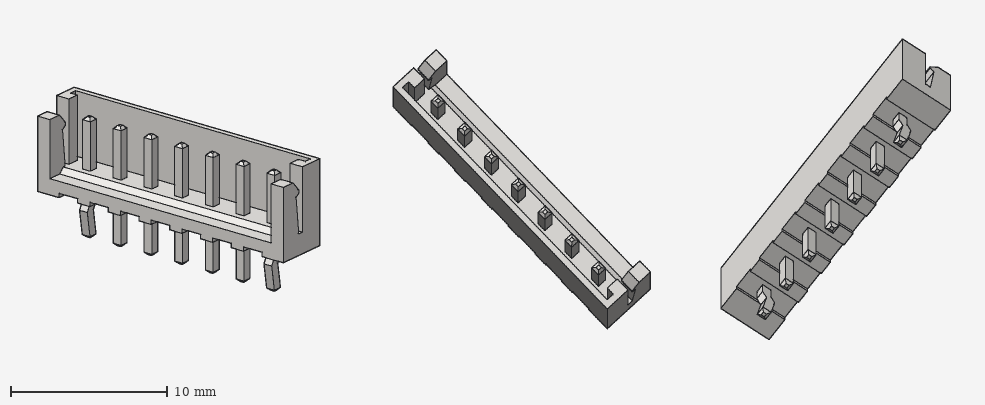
import cadquery as cq

length = 20.0
depth = 3.8
height = 6.0
floor_z = 1.5
end_wall = 1.0

rear_wall = 0.42
recess_end_wall = 0.45
post_back_y = depth - 0.95
post_front_y = depth - 1.82

sill_drop = 0.37
sill_back_y = 1.03

arm_height = 5.2
arm_root_y = 1.6
arm_neck_y = 1.32
arm_neck_z = 4.1
hook_tip_y = 1.62
hook_low_z = 4.3
hook_high_z = 4.5
hook_top_y = 1.0

pin_count = 7
pitch = 2.5
pin_size = 0.64
pin_y = depth - 1.6
pin_top_z = 5.1
pin_bottom_z = -3.2
tip_chamfer = 0.2

kink_start_z = -0.7
kink_peak_z = -1.25
kink_offset = 0.31

notch_width = 1.5
notch_height = 0.3


def box(x_range, y_range, z_range):
    """Axis-aligned block spanning the given (low, high) ranges."""
    (x0, x1), (y0, y1), (z0, z1) = x_range, y_range, z_range
    return cq.Workplane("XY").box(x1 - x0, y1 - y0, z1 - z0, centered=False).translate((x0, y0, z0))


def side_prism(points, width):
    """Extrude a closed (Y, Z) outline to the given width, centred on X = 0."""
    return cq.Workplane("YZ").polyline(points).close().extrude(width / 2, both=True)


def make_end_profile():
    """Full-length body with the end-wall outline: rear block, slot and hooked arm."""
    outline = [
        (0, 0),
        (depth, 0),
        (depth, height),
        (post_front_y, height),
        (post_front_y, floor_z),
        (arm_root_y, floor_z),
        (arm_neck_y, arm_neck_z),
        (hook_tip_y, hook_low_z),
        (hook_tip_y, hook_high_z),
        (hook_top_y, arm_height),
        (0, arm_height),
    ]
    return side_prism(outline, length)


def make_cavity():
    """Open space between the end walls, above the floor and the sill."""
    sill_z = floor_z - sill_drop
    outline = [
        (0, sill_z),
        (sill_back_y, sill_z),
        (sill_back_y + sill_drop, floor_z),
        (depth - rear_wall, floor_z),
        (depth - rear_wall, height),
        (0, height),
    ]
    main = side_prism(outline, length - 2 * end_wall)
    recess_half = length / 2 - recess_end_wall
    recess = box((-recess_half, recess_half), (post_back_y, depth - rear_wall), (floor_z, height))
    return main.union(recess)


def make_notch(x):
    """Relief notch running front to back under one pin."""
    half = notch_width / 2
    return box((x - half, x + half), (0, depth), (0, notch_height))


def make_pin(x, kinked):
    """Square pin with pyramid tips; a kinked pin bows forward below the housing."""
    front_y = pin_y - pin_size / 2
    path = [(0, pin_top_z)]
    if kinked:
        path += [(0, kink_start_z), (kink_offset, kink_peak_z)]
    path.append((0, pin_bottom_z))
    front = [(front_y - offset, z) for offset, z in path]
    back = [(y + pin_size, z) for y, z in reversed(front)]
    pin = side_prism(front + back, pin_size)
    pin = pin.faces("<Z or >Z").chamfer(tip_chamfer)
    return pin.translate((x, 0, 0))


pin_positions = [(i - (pin_count - 1) / 2) * pitch for i in range(pin_count)]
outer_pins = (0, pin_count - 1)

result = make_end_profile().cut(make_cavity())
for pin_x in pin_positions:
    result = result.cut(make_notch(pin_x))
for index, pin_x in enumerate(pin_positions):
    result = result.union(make_pin(pin_x, index in outer_pins))